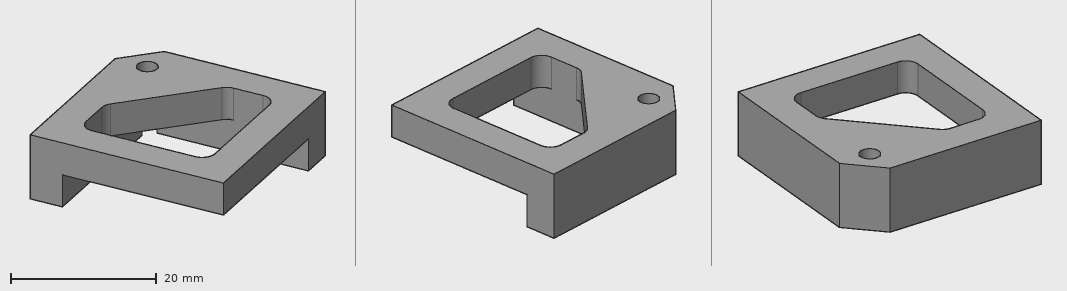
import cadquery as cq

side = 30.0
height = side / 3
wall = side / 6
plate_thickness = height / 2
hole_diameter = 3.0
window_bevel = 12.5
window_corner_radius = 2.0

window_min = wall
window_max = side - wall


def make_body():
    """Square block with the -X, +Y vertical corner bevelled."""
    block = cq.Workplane("XY").box(side, side, height, centered=False)
    return block.edges("|Z and <X and >Y").chamfer(wall)


def make_underside_step():
    """Open space below the plate, leaving L-shaped walls along -X and +Y."""
    return cq.Workplane("XY").box(
        side - wall, side - wall, height - plate_thickness, centered=False
    ).translate((wall, 0, 0))


def make_window():
    """Square opening with one corner cut diagonally and all corners rounded."""
    outline = [
        (window_min, window_min),
        (window_max, window_min),
        (window_max, window_max),
        (window_min + window_bevel, window_max),
        (window_min, window_max - window_bevel),
    ]
    prism = cq.Workplane("XY").polyline(outline).close().extrude(height)
    return prism.edges("|Z").fillet(window_corner_radius)


def make_corner_hole():
    """Through hole centred on the inner corner where the two walls meet."""
    return (
        cq.Workplane("XY")
        .center(wall, side - wall)
        .circle(hole_diameter / 2)
        .extrude(height)
    )


result = (
    make_body()
    .cut(make_underside_step())
    .cut(make_window())
    .cut(make_corner_hole())
)